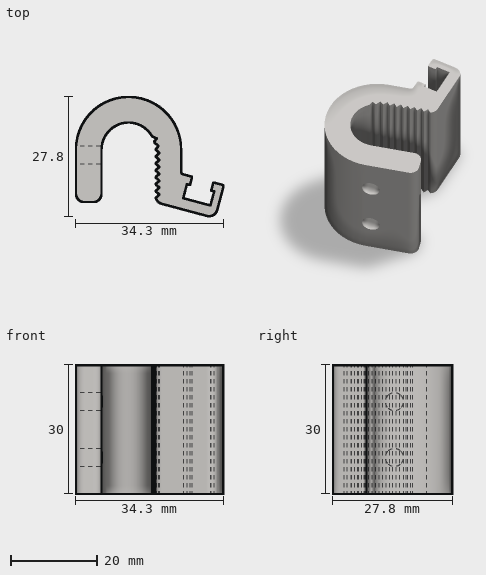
import cadquery as cq
import math

length = 30.0
outer_radius = 12.25
wall = 6.0
bore_radius = outer_radius - wall
leg_end_y = -12.25
corner_radius = 2.0

tilt = math.radians(-15)
channel_corner = (12.75, -11.3)
channel_width = 6.5
channel_depth = 3.33
lip_overhang = 0.72
rail_height = 5.35
rail_wall = 1.85
floor_thickness = 2.6
lip_round = 0.2
lip_outer_round = 0.5
root_round = 0.6

tooth_pitch = 1.6
groove_count = 7
groove_tip_x = 7.15
groove_tip_radius = 7.0
bend_grooves = [(0, 7, 14), (17.2, 21.4, 29)]

hole_diameter = 4.2
hole_y = -1.25
hole_spacing = 12.98


def rail_point(along, up):
    """Point given along and square to the channel floor, from its inner corner."""
    x = channel_corner[0] + along * math.cos(tilt) - up * math.sin(tilt)
    y = channel_corner[1] + along * math.sin(tilt) + up * math.cos(tilt)
    return (x, y)


def polar_point(radius, degrees):
    angle = math.radians(degrees)
    return (radius * math.cos(angle), radius * math.sin(angle))


def rail_line_at(x, up):
    """Point at x on the line parallel to the channel floor at the given height."""
    start = rail_point(0, up)
    return (x, start[1] + (x - start[0]) * math.tan(tilt))


def round_corner(body, point, radius):
    """Fillet the lengthwise edge standing on the given profile point."""
    edge = cq.selectors.NearestToPointSelector((point[0], point[1], length / 2))
    return body.edges("|Z").edges(edge).fillet(radius)


def prism(points):
    return cq.Workplane("XY").polyline(points).close().extrude(length)


leg_outer = (-outer_radius, leg_end_y)
leg_inner = (-bore_radius, leg_end_y)
jaw_bottom = rail_line_at(bore_radius, -floor_thickness)
rail_bottom = rail_point(channel_width + rail_wall, -floor_thickness)
rail_top_outer = rail_point(channel_width + rail_wall, rail_height)
rail_top_inner = rail_point(channel_width - lip_overhang, rail_height)
near_lip_top = rail_point(lip_overhang, rail_height)
rail_root = rail_line_at(outer_radius, rail_height)

body = (
    cq.Workplane("XY")
    .moveTo(*leg_outer)
    .lineTo(*leg_inner)
    .lineTo(-bore_radius, 0)
    .threePointArc((0, bore_radius), (bore_radius, 0))
    .lineTo(*jaw_bottom)
    .lineTo(*rail_bottom)
    .lineTo(*rail_top_outer)
    .lineTo(*rail_top_inner)
    .lineTo(*rail_point(channel_width - lip_overhang, channel_depth))
    .lineTo(*rail_point(channel_width, channel_depth))
    .lineTo(*rail_point(channel_width, 0))
    .lineTo(*channel_corner)
    .lineTo(*rail_point(0, channel_depth))
    .lineTo(*rail_point(lip_overhang, channel_depth))
    .lineTo(*near_lip_top)
    .lineTo(*rail_root)
    .lineTo(outer_radius, 0)
    .threePointArc((0, outer_radius), (-outer_radius, 0))
    .close()
    .extrude(length)
)

for corner in (leg_outer, leg_inner, jaw_bottom, rail_bottom):
    body = round_corner(body, corner, corner_radius)
for corner in (rail_top_inner, near_lip_top):
    body = round_corner(body, corner, lip_round)
body = round_corner(body, rail_top_outer, lip_outer_round)
body = round_corner(body, rail_root, root_round)

for index in range(groove_count):
    top = -index * tooth_pitch
    middle = top - tooth_pitch / 2
    bottom = top - tooth_pitch
    body = body.cut(prism([(bore_radius, top), (groove_tip_x, middle), (bore_radius, bottom)]))

for start, tip, end in bend_grooves:
    groove = [
        (0, 0),
        polar_point(bore_radius, start),
        polar_point(groove_tip_radius, tip),
        polar_point(bore_radius, end),
    ]
    body = body.cut(prism(groove))

for side in (-1, 1):
    hole = (
        cq.Workplane("YZ", origin=(-outer_radius, hole_y, length / 2 + side * hole_spacing / 2))
        .circle(hole_diameter / 2)
        .extrude(outer_radius)
    )
    body = body.cut(hole)

result = body